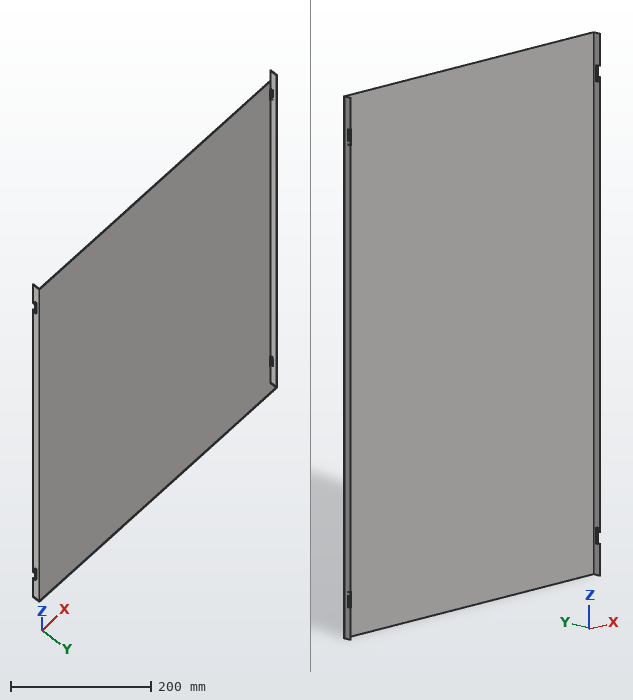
import cadquery as cq

width = 500.0
depth = 13.0
height = 800.0
sheet = 1.0

tab_end_gap = 47.0
tab_length = 23.0
tab_gap = 2.0
tab_setback = 1.2
notch_depth = 5.0
notch_length = 17.0

front = -depth / 2
outer_x = width / 2
tab_depth = notch_depth - tab_setback
tab_reach = tab_gap + sheet


def make_channel():
    """Flat panel at the back with a plain flange along each long side."""
    body = cq.Workplane("XY").box(width, depth, height)
    hollow = cq.Workplane("XY").box(width - 2 * sheet, depth, height)
    return body.cut(hollow.translate((0, -sheet, 0)))


def flange_block(x_size, y_size, z_size, inset, setback, end_gap):
    """Block placed from the left flange's outer face, its front edge and the upper panel end."""
    corner = (inset - outer_x, front + setback, height / 2 - end_gap - z_size)
    return cq.Workplane("XY").box(x_size, y_size, z_size, centered=False).translate(corner)


def make_notch():
    """Upper left notch through the front edge of the flange."""
    return flange_block(sheet, notch_depth, notch_length, 0, 0, tab_end_gap)


def make_tab():
    """Upper left tab: a plate parallel to the flange, on a foot that joins it to the flange."""
    plate = flange_block(sheet, tab_depth, tab_length, sheet + tab_gap, tab_setback, tab_end_gap)
    foot_end_gap = tab_end_gap + tab_length - sheet
    foot = flange_block(tab_reach, tab_depth, sheet, sheet, tab_setback, foot_end_gap)
    return plate.union(foot)


def at_four_corners(feature):
    """The upper left feature and its mirror images at the other three corners."""
    left_pair = [feature, feature.mirror("XY")]
    right_pair = [copy.mirror("YZ") for copy in left_pair]
    return left_pair + right_pair


result = make_channel()
for notch in at_four_corners(make_notch()):
    result = result.cut(notch)
for tab in at_four_corners(make_tab()):
    result = result.union(tab)